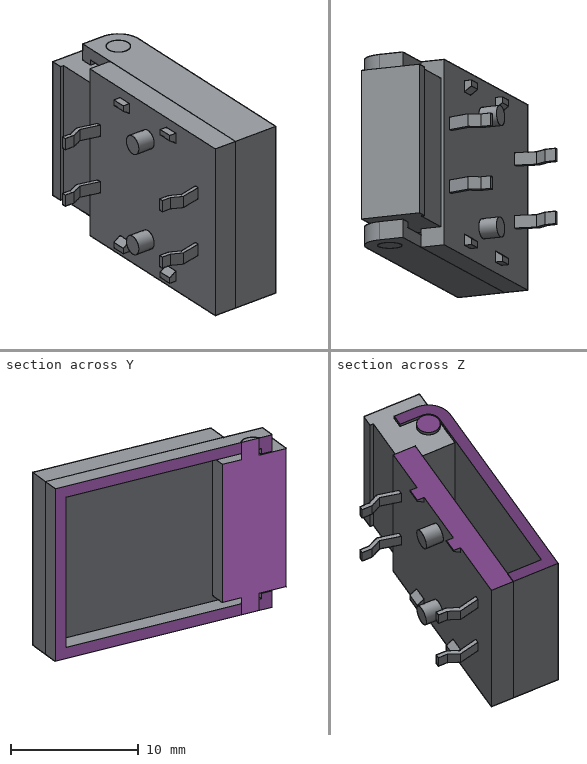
import cadquery as cq


length = 21.0
width = 15.0
base_left = 4.8
base_depth = 2.0
cover_depth = 4.0
cover_left = 1.28
wall = 1.0
back_y = base_depth + cover_depth

corner_radius = 2.0
pivot_x = cover_left + corner_radius
pivot_y = back_y - corner_radius
trunnion_radius = 0.95
pivot_clearance = 0.025
arm_width = 12.01
side_clearance = 0.02
arm_back_y = back_y - wall
arm_relief = 0.3
lip_length = 1.03
arm_right = base_left + wall

center_x = 12.3
peg_radius = 0.8
peg_length = 1.51
peg_pitch = 9.0
tab_length = 1.22
tab_height = 0.6
tab_root = 0.9
tab_tip = 0.48
tab_pitch = 5.98
tab_outer_span = 13.3

leg_width = 1.0
leg_pitch = 5.08
leg_length = 3.5
leg_root_outer = 6.49
leg_knee_outer = 6.9
leg_foot_outer = 6.45
leg_thickness = 0.35
leg_knee_y = -1.78
leg_foot_y = -2.7
leg_inner_rise = 0.08


def block(x_min, x_max, y_min, y_max, z_width):
    """Box given by its X and Y limits, centred on Z = 0."""
    return (
        cq.Workplane("XY")
        .box(x_max - x_min, y_max - y_min, z_width, centered=(False, False, True))
        .translate((x_min, y_min, 0))
    )


def pivot_cylinder(radius):
    """Cylinder on the hinge axis, as long as the part is wide."""
    return (
        cq.Workplane("XY", origin=(pivot_x, pivot_y, -width / 2))
        .circle(radius)
        .extrude(width)
    )


def make_hinge_arm():
    """Arm rooted on the base plate, with a lip at its free end and a trunnion on each side."""
    arm = block(0, arm_right, 0, arm_back_y, arm_width)
    relief = block(lip_length, base_left, 0, arm_relief, arm_width)
    return arm.cut(relief).union(pivot_cylinder(trunnion_radius))


def make_peg(z):
    """Round locating peg under the base."""
    return (
        cq.Workplane("XZ", origin=(center_x, 0, z))
        .circle(peg_radius)
        .extrude(peg_length)
    )


def make_tab(x, side):
    """Small stop whose face toward Z = 0 slopes; side is +1 or -1 along Z."""
    outer_z = side * tab_outer_span / 2
    return (
        cq.Workplane("YZ", origin=(x - tab_length / 2, 0, 0))
        .moveTo(0, outer_z)
        .lineTo(-tab_height, outer_z)
        .lineTo(-tab_height, outer_z - side * tab_tip)
        .lineTo(0, outer_z - side * tab_root)
        .close()
        .extrude(tab_length)
    )


def make_leg(side, z):
    """Kinked snap-in leg; side is +1 or -1 along X."""
    outline = [
        (leg_root_outer, 0),
        (leg_knee_outer, leg_knee_y),
        (leg_foot_outer, leg_foot_y),
        (leg_foot_outer, -leg_length),
        (leg_foot_outer - leg_thickness, -leg_length),
        (leg_foot_outer - leg_thickness, leg_foot_y + leg_inner_rise),
        (leg_knee_outer - leg_thickness, leg_knee_y + leg_inner_rise),
        (leg_root_outer - leg_thickness, 0),
    ]
    points = [(center_x + side * out, y) for out, y in outline]
    return (
        cq.Workplane("XY", origin=(0, 0, z - leg_width / 2))
        .polyline(points)
        .close()
        .extrude(leg_width)
    )


def make_base():
    """Base plate with hinge arm, pegs, tabs and legs."""
    body = block(base_left, length, 0, base_depth, width).union(make_hinge_arm())
    for side in (-1, 1):
        body = body.union(make_peg(side * peg_pitch / 2))
        for end in (-1, 1):
            body = body.union(make_tab(center_x + end * tab_pitch / 2, side))
            body = body.union(make_leg(end, side * leg_pitch / 2))
    return body


def make_cover():
    """Hollow cover, open toward the base and notched around the hinge arm."""
    shell = block(cover_left, length, base_depth, back_y, width)
    shell = shell.edges("<X and >Y").fillet(corner_radius)
    cavity = block(cover_left + wall, length - wall, base_depth, back_y - wall, width - 2 * wall)
    cavity = cavity.edges("<X and >Y").fillet(corner_radius - wall)
    notch = block(cover_left, base_left, base_depth, back_y, arm_width + 2 * side_clearance)
    pivot_hole = pivot_cylinder(trunnion_radius + pivot_clearance)
    return shell.cut(cavity).cut(notch).cut(pivot_hole)


base = make_base()
cover = make_cover()

result = cq.Compound.makeCompound([base.solids().val(), cover.solids().val()])